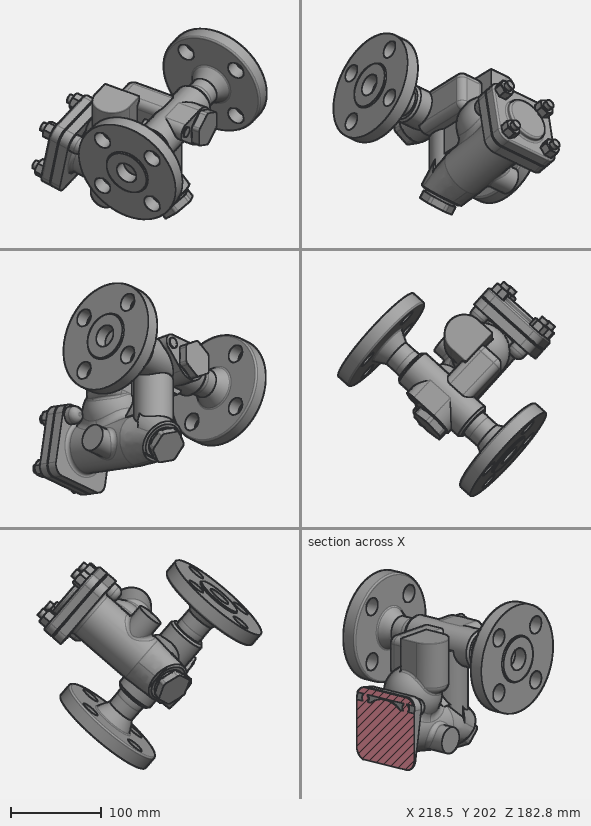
import cadquery as cq
import math

FACE_TO_FACE = 202.0
FLANGE_D = 124.0
FLANGE_T = 16.6
FLANGE_EDGE_R = 2.0
RAISED_FACE_D = 50.8
RAISED_FACE_BASE_D = 53.19
RAISED_FACE_H = 1.6
BORE_D = 25.0
BORE_DEPTH = 15.0
BOLT_CIRCLE_D = 90.0
BOLT_HOLE_D = 20.0
BOLT_COUNT = 4
HUB_BASE_D = 48.0
HUB_FILLET_R = 2.0
NECK_D = 32.0
NECK_START = 68.5
WELD_START = 55.2
WELD_BULGE = 0.4
PIPE_D = 44.0
PIPE_HALF_LENGTH = 47.2
PIPE_CHAMFER = 3.0
PIPE_END_D = 39.0

TILT = 10.0
BODY_Y = -8.0
BODY_ORIGIN = (-110.6, BODY_Y, -72.0)
BODY_R = 28.0
BODY_LENGTH = 77.5
BODY_FLANGE_FILLET_R = 4.0
COVER_SIDE = 83.0
COVER_CORNER_R = 12.5
COVER_T = 11.8
COVER_EDGE_R = 2.0
BODY_FLANGE_T = 11.8
GASKET_T = 1.4
GASKET_D = 66.0
CAP_D = 52.0
CAP_H = 6.0
CAP_TOP_R = 2.3
CAP_BASE_R = 2.0
STUD_SPACING = 58.0
STUD_D = 10.0
STUD_PROJECTION = 5.8
NUT_FLATS = 17.0
NUT_H = 9.8
STUD_BOSS_R = 10.0
STUD_BOSS_LENGTH = 14.0
STUD_BOSS_END_R = 8.0

DOME_CENTRE = (-70.5, BODY_Y, -41.0)
DOME_R = 32.5
DOME_FILLET_R = 11.0
SIDE_BOSS_D = 30.0
SIDE_BOSS_X = -59.4
SIDE_BOSS_Z = -89.2
SIDE_BOSS_END_Y = -53.0
SIDE_BOSS_FILLET_R = 5.0
STRAINER_ANGLE = 45.0
STRAINER_END = (3.9, BODY_Y, -97.8)
STRAINER_D = 50.0
STRAINER_LENGTH = 40.0
STRAINER_RIM_H = 1.2
STRAINER_RIM_W = 3.0
JOINT_X = -11.0
PLUG_COLLAR_D = 36.0
PLUG_HEX_EDGE_R = 4.5
STRAINER_PLUG_FLATS = 36.0
STRAINER_PLUG_COLLAR_H = 3.25
STRAINER_PLUG_HEX_H = 9.2
PAD_PLUG_FLATS = 38.0
PAD_PLUG_COLLAR_H = 1.0
PAD_PLUG_HEX_H = 9.7
RISER_D = 44.0
RISER_X = -9.3
RISER_BOTTOM_Z = -85.0

POST_R = 22.0
POST_X = -63.2
POST_ARC_Y = -25.0
POST_BACK_Y = -3.0
POST_TOP_Z = 25.0
POST_BOTTOM_Z = -36.0
POST_BOTTOM_R = 9.5
POST_TOP_R = 0.6
POST_FILLET_R = 3.0
BRIDGE_LEFT_X = -70.6
BRIDGE_Y = 10.0
BRIDGE_WIDTH = 36.0
BRIDGE_TOP_Z = 18.6
BRIDGE_BOTTOM_Z = -29.0
BRIDGE_R = 8.5
WEB_LEFT_X = -52.0
WEB_BREAK_Z = -32.0
WEB_FOOT_Y = -24.0
WEB_FOOT_Z = -62.0
WEB_FLARE_SAG = 1.5
PAD_END_X = 27.0
PAD_PLUG_Y = 12.0
PAD_SMALL_Y = -17.8
PAD_SMALL_R = 10.2
PIN_D = 12.0
PIN_H = 1.4


def frame(origin, degrees):
    """Plane whose normal lies in XZ, `degrees` above +X, with local x along -Y."""
    angle = math.radians(degrees)
    normal = (math.cos(angle), 0, math.sin(angle))
    return cq.Plane(origin=origin, xDir=(0, -1, 0), normal=normal)


def nearest_edge(plane, level):
    """Selector for the circle centred on the plane's axis at the given level."""
    return cq.selectors.NearestToPointSelector(plane.toWorldCoords((0, 0, level)))


def edges_within(low_corner, high_corner):
    """Selector for edges whose centres lie inside a box."""
    return cq.selectors.BoxSelector(low_corner, high_corner)


def hexagon(plane, flats, height, turn=0.0):
    """Hexagonal prism whose outer end corners are bevelled by a cone."""
    corner_d = flats / math.cos(math.pi / 6)
    prism = cq.Workplane(plane).transformed(rotate=(0, 0, turn)).polygon(6, corner_d).extrude(height)
    bevel = (corner_d - flats) / 2
    envelope = cq.Workplane(plane).circle(corner_d / 2).extrude(height)
    envelope = envelope.faces(cq.selectors.DirectionMinMaxSelector(plane.zDir)).chamfer(bevel / 2, bevel)
    return prism.intersect(envelope)


def make_pipe_half():
    """Half of the main pipe with its flange, turned about Y towards +Y."""
    face = FACE_TO_FACE / 2
    flange_front = face - RAISED_FACE_H
    flange_back = flange_front - FLANGE_T
    neck_r = NECK_D / 2
    weld_middle = (WELD_START + PIPE_HALF_LENGTH) / 2
    profile = (
        cq.Workplane("XY")
        .moveTo(0, 0)
        .lineTo(PIPE_D / 2, 0)
        .lineTo(PIPE_D / 2, PIPE_HALF_LENGTH - PIPE_CHAMFER)
        .lineTo(PIPE_END_D / 2, PIPE_HALF_LENGTH)
        .lineTo(neck_r, PIPE_HALF_LENGTH)
        .threePointArc((neck_r + WELD_BULGE, weld_middle), (neck_r, WELD_START))
        .lineTo(neck_r, NECK_START)
        .lineTo(HUB_BASE_D / 2, flange_back)
        .lineTo(FLANGE_D / 2 - FLANGE_EDGE_R, flange_back)
        .radiusArc((FLANGE_D / 2, flange_back + FLANGE_EDGE_R), -FLANGE_EDGE_R)
        .lineTo(FLANGE_D / 2, flange_front)
        .lineTo(RAISED_FACE_BASE_D / 2, flange_front)
        .lineTo(RAISED_FACE_D / 2, face)
        .lineTo(BORE_D / 2, face)
        .lineTo(BORE_D / 2, face - BORE_DEPTH)
        .lineTo(0, face - BORE_DEPTH)
        .close()
    )
    half = profile.revolve(360, (0, 0, 0), (0, 1, 0))
    hub_base = (
        half.edges("%CIRCLE")
        .edges(edges_within((-1, flange_back - 0.1, -1), (1, flange_back + 0.1, 1)))
        .edges(cq.selectors.RadiusNthSelector(0))
    )
    half = hub_base.fillet(HUB_FILLET_R)
    holes = (
        cq.Workplane("XZ", origin=(0, face, 0))
        .polarArray(BOLT_CIRCLE_D / 2, 360 / BOLT_COUNT / 2, 360, BOLT_COUNT)
        .circle(BOLT_HOLE_D / 2)
        .extrude(face - flange_back + RAISED_FACE_H)
    )
    return half.cut(holes)


def make_pipe():
    half = make_pipe_half()
    return half.union(half.mirror("XZ"))


def rounded_square(plane, offset, thickness):
    return (
        cq.Workplane(plane)
        .workplane(offset=offset)
        .rect(COVER_SIDE, COVER_SIDE)
        .extrude(thickness)
        .edges(cq.selectors.ParallelDirSelector(plane.zDir))
        .fillet(COVER_CORNER_R)
    )


def make_body_flange(axis):
    """Square flange with a filleted root around the body and two rounded stud bosses behind it."""
    inward = cq.selectors.DirectionMinMaxSelector(axis.zDir, False)
    flange = rounded_square(axis, 0, BODY_FLANGE_T)
    root = cq.Workplane(axis).circle(BODY_R).extrude(-2 * BODY_FLANGE_FILLET_R)
    root_circle = nearest_edge(axis, 0)
    flange = flange.union(root).edges(root_circle).fillet(BODY_FLANGE_FILLET_R)
    half_spacing = STUD_SPACING / 2
    for side in (-half_spacing, half_spacing):
        rod = cq.Workplane(axis).center(side, half_spacing)
        rod = rod.circle(STUD_BOSS_R).extrude(-STUD_BOSS_LENGTH)
        flange = flange.union(rod.faces(inward).edges().fillet(STUD_BOSS_END_R))
    return flange


def make_trap_body():
    """Tilted cylinder with its dome, side boss, upright post and flange."""
    axis = frame(BODY_ORIGIN, 180 - TILT)
    body = cq.Workplane(axis).circle(BODY_R).extrude(-BODY_LENGTH)
    dome_frame = cq.Plane(origin=DOME_CENTRE, xDir=(0, -1, 0), normal=(0, 0, 1))
    dome = cq.Workplane(dome_frame).sphere(DOME_R)
    body = body.union(dome)
    dome_base = edges_within((-105, -60, -75), (-35, 50, -40))
    body = body.edges(dome_base).fillet(DOME_FILLET_R)

    boss = (
        cq.Workplane("XZ", origin=(SIDE_BOSS_X, BODY_Y, SIDE_BOSS_Z))
        .circle(SIDE_BOSS_D / 2)
        .extrude(BODY_Y - SIDE_BOSS_END_Y)
    )
    boss_base = edges_within(
        (SIDE_BOSS_X - 3, SIDE_BOSS_END_Y + 5, SIDE_BOSS_Z - 3),
        (SIDE_BOSS_X + 3, BODY_Y, SIDE_BOSS_Z + 3),
    )
    body = body.union(boss).edges(boss_base).fillet(SIDE_BOSS_FILLET_R)

    body = body.union(make_post())
    post_base = edges_within(
        (POST_X - POST_R - 1, POST_ARC_Y - POST_R + POST_BOTTOM_R, POST_BOTTOM_Z),
        (POST_X + POST_R + 1, POST_BACK_Y - 1, POST_TOP_Z - POST_R - 10),
    )
    body = body.edges(post_base).fillet(POST_FILLET_R)
    return body.union(make_body_flange(axis))


def make_cover():
    """Gasket, cover plate with its round cap, and the four studs with nuts."""
    gasket_plane = frame(BODY_ORIGIN, 180 - TILT)
    outward = cq.selectors.DirectionMinMaxSelector(gasket_plane.zDir)
    cover_back = BODY_FLANGE_T + GASKET_T
    cover_front = cover_back + COVER_T
    gasket = cq.Workplane(gasket_plane).workplane(offset=BODY_FLANGE_T).circle(GASKET_D / 2).extrude(GASKET_T)
    plate = rounded_square(gasket_plane, cover_back, COVER_T)
    plate = plate.faces(outward).edges().fillet(COVER_EDGE_R)
    cap = cq.Workplane(gasket_plane).workplane(offset=cover_front).circle(CAP_D / 2).extrude(CAP_H)
    cover = plate.union(cap.faces(outward).edges().fillet(CAP_TOP_R))
    cover = cover.edges(nearest_edge(gasket_plane, cover_front)).fillet(CAP_BASE_R).union(gasket)

    front_plane = cq.Plane(
        origin=gasket_plane.toWorldCoords((0, 0, cover_front)),
        xDir=gasket_plane.xDir,
        normal=gasket_plane.zDir,
    )
    half_spacing = STUD_SPACING / 2
    for side in (-1, 1):
        for level in (-1, 1):
            seat = cq.Plane(
                origin=front_plane.toWorldCoords((side * half_spacing, level * half_spacing, 0)),
                xDir=front_plane.xDir,
                normal=front_plane.zDir,
            )
            turn = 30 if side * level > 0 else 0
            stud = cq.Workplane(seat).workplane(offset=-cover_front)
            stud = stud.circle(STUD_D / 2).extrude(cover_front + NUT_H + STUD_PROJECTION)
            cover = cover.union(stud).union(hexagon(seat, NUT_FLATS, NUT_H, turn))
    return cover


def make_plug(seat, flats, collar_h, hex_h):
    """Screw plug: round collar under a hexagon with rounded edges, two flats facing +Y and -Y."""
    collar = cq.Workplane(seat).circle(PLUG_COLLAR_D / 2).extrude(collar_h)
    head = (
        cq.Workplane(seat)
        .workplane(offset=collar_h)
        .transformed(rotate=(0, 0, 30))
        .polygon(6, flats / math.cos(math.pi / 6))
        .extrude(hex_h)
        .edges(cq.selectors.ParallelDirSelector(seat.zDir))
        .fillet(PLUG_HEX_EDGE_R)
    )
    return collar.union(head)


def make_section(plane, radius):
    """Circular wire whose seam lies in the XZ plane."""
    return cq.Workplane(plane.rotated((0, 0, 90))).circle(radius).wires().val()


def make_strainer():
    """Transition from the tilted body to the plugged strainer end, and the riser to the pipe."""
    end = frame(STRAINER_END, -STRAINER_ANGLE)
    body_axis = frame(BODY_ORIGIN, 180 - TILT)
    body_end = frame(body_axis.toWorldCoords((0, 0, -BODY_LENGTH)), -TILT)
    rim_plane = frame(end.toWorldCoords((0, 0, -STRAINER_RIM_H)), -STRAINER_ANGLE)
    rim_r = STRAINER_D / 2
    transition = cq.Solid.makeLoft(
        [make_section(body_end, BODY_R), make_section(rim_plane, rim_r)], True
    )
    boss = cq.Workplane(end).circle(rim_r).extrude(-STRAINER_LENGTH)
    rim = boss.faces(cq.selectors.DirectionMinMaxSelector(end.zDir))
    boss = rim.chamfer(STRAINER_RIM_H, STRAINER_RIM_W)
    behind_joint = cq.Workplane("YZ", origin=(JOINT_X, BODY_Y, STRAINER_END[2]))
    behind_joint = behind_joint.rect(STRAINER_D, 4 * STRAINER_D).extrude(-STRAINER_LENGTH)
    riser = (
        cq.Workplane("XY", origin=(RISER_X, BODY_Y, RISER_BOTTOM_Z))
        .circle(RISER_D / 2)
        .extrude(-RISER_BOTTOM_Z)
    )
    plug = make_plug(end, STRAINER_PLUG_FLATS, STRAINER_PLUG_COLLAR_H, STRAINER_PLUG_HEX_H)
    return cq.Workplane(transition).union(boss.cut(behind_joint)).union(riser).union(plug)


def make_post():
    """Upright D-shaped post with a rounded lower end."""
    post = (
        cq.Workplane("XY", origin=(POST_X, 0, POST_BOTTOM_Z))
        .moveTo(-POST_R, POST_BACK_Y)
        .lineTo(-POST_R, POST_ARC_Y)
        .threePointArc((0, POST_ARC_Y - POST_R), (POST_R, POST_ARC_Y))
        .lineTo(POST_R, POST_BACK_Y)
        .close()
        .extrude(POST_TOP_Z - POST_BOTTOM_Z)
    )
    post = post.faces("<Z").edges("not >Y").fillet(POST_BOTTOM_R)
    return post.faces(">Z").edges().fillet(POST_TOP_R)


def make_bridge():
    """Rounded block joining the dome to the main pipe."""
    bridge = cq.Workplane("XY").box(
        -BRIDGE_LEFT_X, BRIDGE_WIDTH, BRIDGE_TOP_Z - BRIDGE_BOTTOM_Z, centered=(False, True, False)
    )
    bridge = bridge.edges("<X or |X").fillet(BRIDGE_R)
    return bridge.translate((BRIDGE_LEFT_X, BRIDGE_Y, BRIDGE_BOTTOM_Z))


def make_web():
    """Web under the bridge that fills the corner between dome, trap body and riser."""
    front_y = BRIDGE_Y - BRIDGE_WIDTH / 2
    middle_y = (front_y + WEB_FOOT_Y) / 2 + WEB_FLARE_SAG
    middle_z = (WEB_BREAK_Z + WEB_FOOT_Z) / 2 - WEB_FLARE_SAG
    return (
        cq.Workplane("YZ", origin=(WEB_LEFT_X, 0, 0))
        .moveTo(BRIDGE_Y, 0)
        .lineTo(front_y, 0)
        .lineTo(front_y, WEB_BREAK_Z)
        .threePointArc((middle_y, middle_z), (WEB_FOOT_Y, WEB_FOOT_Z))
        .lineTo(BRIDGE_Y, WEB_FOOT_Z)
        .close()
        .extrude(RISER_X - WEB_LEFT_X)
    )


def make_pad():
    """Pad on the +X side of the pipe: hull of a large and a small circle, with plug and pin."""
    large_r = PIPE_D / 2
    small_z = large_r - PAD_SMALL_R
    run = PAD_SMALL_Y - PAD_PLUG_Y
    tangent_turn = 2 * math.atan2(small_z, run)
    low_y = math.cos(tangent_turn - math.pi / 2)
    low_z = math.sin(tangent_turn - math.pi / 2)
    profile = (
        cq.Workplane("YZ")
        .moveTo(PAD_SMALL_Y, large_r)
        .lineTo(PAD_PLUG_Y, large_r)
        .threePointArc(
            (PAD_PLUG_Y + large_r, 0),
            (PAD_PLUG_Y + large_r * low_y, large_r * low_z),
        )
        .lineTo(PAD_SMALL_Y + PAD_SMALL_R * low_y, small_z + PAD_SMALL_R * low_z)
        .threePointArc((PAD_SMALL_Y - PAD_SMALL_R, small_z), (PAD_SMALL_Y, large_r))
        .close()
    )
    pad = profile.extrude(PAD_END_X)
    pin = cq.Workplane("YZ", origin=(PAD_END_X, PAD_SMALL_Y, small_z)).circle(PIN_D / 2).extrude(PIN_H)
    plug = make_plug(
        frame((PAD_END_X, PAD_PLUG_Y, 0), 0), PAD_PLUG_FLATS, PAD_PLUG_COLLAR_H, PAD_PLUG_HEX_H
    )
    return pad.union(pin).union(plug)


result = (
    make_trap_body()
    .union(make_cover())
    .union(make_strainer())
    .union(make_bridge())
    .union(make_web())
    .union(make_pipe())
    .union(make_pad())
)